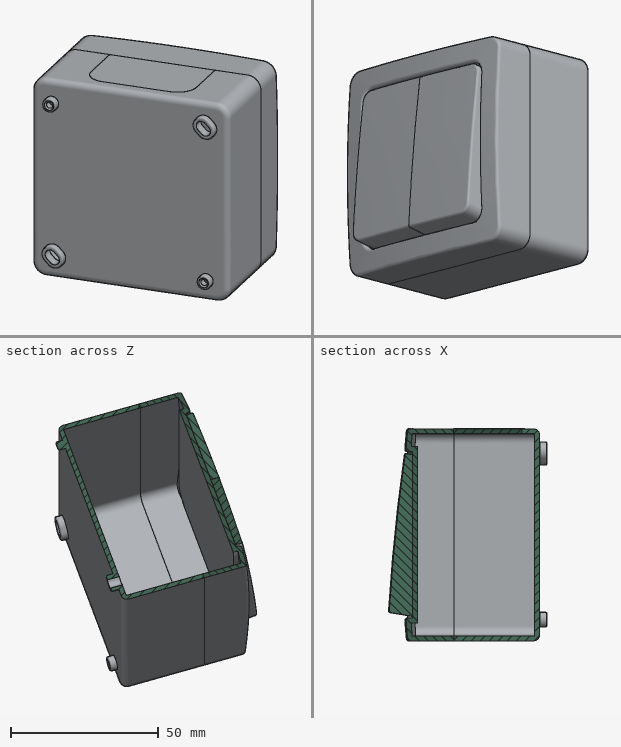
import cadquery as cq
import math


side = 72.0
corner_radius = 4.9
wall = 1.8
seam_y = 29.1

back_round = 2.15
boss_height = 2.45
boss_round = 0.6
slot_offset = 27.6
slot_run = 1.95
slot_width = 3.8
slot_boss_width = 6.5
slot_turn = 45
screw_near = 27.65
screw_far = 28.7
screw_hole_radius = 1.15
screw_boss_radius = 2.5
screw_hole_depth = boss_height + wall / 2
screw_mouth_chamfer = 0.6
screw_mouth_angle = 45

insert_width = 38.45
insert_depth = 23.9
insert_radius = 6.9

dome_apex_y = 46.9
dome_radius = 378.0
dome_round = 1.0
pocket_side = 56.3
pocket_radius = 4.7
pocket_floor_y = 43.2

key_width = 55.45
key_height = 54.15
key_corner_radius = 3.8
key_round = 0.7
key_tilt = 9.5
key_middle_y = 49.1
key_middle_z = 0.8
key_face_lean = 5.8
key_face_radius = 684.0
key_bar_length = 43.2


def square_prism(size, radius, start_y, end_y):
    """Square bar along Y, from start_y to end_y, with rounded long edges."""
    block = cq.Workplane("XY").box(size, end_y - start_y, size)
    return block.edges("|Y").fillet(radius).translate((0, (start_y + end_y) / 2, 0))


def rear_plane(x, y, z):
    """Workplane at the given point, extruding towards +Y."""
    return cq.Workplane(cq.Plane(origin=(x, y, z), xDir=(1, 0, 0), normal=(0, 1, 0)))


def slot_bar(x, z, width, start_y, end_y):
    """Bar along Y with an obround section whose long axis slopes down towards +X."""
    plane = rear_plane(x, start_y, z)
    return plane.slot2D(slot_run + width, width, slot_turn).extrude(end_y - start_y)


def add_slotted_boss(body, x, z):
    """Obround boss on the back with a mounting slot through the back wall."""
    boss = slot_bar(x, z, slot_boss_width, -boss_height, 0).faces("<Y").edges().fillet(boss_round)
    return body.union(boss).cut(slot_bar(x, z, slot_width, -boss_height, wall))


def add_screw_boss(body, x, z):
    """Round boss on the back with a blind, countersunk screw hole."""
    plane = rear_plane(x, -boss_height, z)
    boss = plane.circle(screw_boss_radius).extrude(boss_height)
    boss = boss.faces("<Y").edges().fillet(boss_round)
    hole = plane.circle(screw_hole_radius).extrude(screw_hole_depth)
    mouth = plane.circle(screw_hole_radius + screw_mouth_chamfer)
    countersink = mouth.extrude(screw_mouth_chamfer, taper=screw_mouth_angle)
    return body.union(boss).cut(hole).cut(countersink)


def make_insert():
    """Flat plate closing the cable entry, open corners rounded towards the back."""
    plate = cq.Workplane("XY").box(insert_width, insert_depth, wall)
    plate = plate.edges("|Z and <Y").fillet(insert_radius)
    return plate.translate((0, seam_y - insert_depth / 2, side / 2 - wall / 2))


def make_base(insert):
    """Hollow base, open at the seam, with four bosses and a notch for the insert."""
    base = square_prism(side, corner_radius, 0, seam_y).faces("<Y").edges().fillet(back_round)
    base = base.cut(square_prism(side - 2 * wall, corner_radius - wall, wall, seam_y))
    for sign in (-1, 1):
        base = add_slotted_boss(base, sign * slot_offset, sign * slot_offset)
    base = add_screw_boss(base, -screw_far, screw_near)
    base = add_screw_boss(base, screw_near, -screw_far)
    return base.cut(insert)


def dome_ball(radius):
    """Ball concentric with the domed front of the cover."""
    return cq.Workplane("XY").sphere(radius).translate((0, dome_apex_y - dome_radius, 0))


def make_cover():
    """Hollow domed cover with a square tub-shaped pocket for the keys."""
    cover = square_prism(side, corner_radius, seam_y, dome_apex_y).intersect(dome_ball(dome_radius))
    cover = cover.cut(square_prism(pocket_side, pocket_radius, pocket_floor_y, dome_apex_y))
    cover = cover.faces("%SPHERE").edges().fillet(dome_round)
    tub = square_prism(pocket_side + 2 * wall, pocket_radius + wall, pocket_floor_y - wall, dome_apex_y)
    cavity = square_prism(side - 2 * wall, corner_radius - wall, seam_y, dome_apex_y)
    cavity = cavity.intersect(dome_ball(dome_radius - wall)).cut(tub)
    return cover.cut(cavity)


def make_key_pair():
    """Both keys as one block: tilted rounded bar with a spherical front, cut flat at the pocket floor."""
    bar = cq.Workplane("XY").box(key_width, key_bar_length, key_height)
    bar = bar.edges("|Y").fillet(key_corner_radius)
    bar = bar.rotate((0, 0, 0), (1, 0, 0), key_tilt).translate((0, key_middle_y, key_middle_z))
    lean = math.radians(key_face_lean)
    ball_y = key_middle_y - key_face_radius * math.cos(lean)
    ball_z = key_middle_z - key_face_radius * math.sin(lean)
    ball = cq.Workplane("XY").sphere(key_face_radius).translate((0, ball_y, ball_z))
    pair = bar.intersect(ball).faces("%SPHERE").edges().fillet(key_round)
    front_space = cq.Workplane("XY").box(2 * side, side, 2 * side)
    return pair.intersect(front_space.translate((0, pocket_floor_y + side / 2, 0)))


def make_key(pair, sign):
    """Left (-1) or right (+1) half of the key pair."""
    half_space = cq.Workplane("XY").box(side, 2 * side, 2 * side)
    return pair.intersect(half_space.translate((sign * side / 2, 0, 0)))


insert = make_insert()
base = make_base(insert)
cover = make_cover()
key_pair = make_key_pair()
keys = [make_key(key_pair, sign).val() for sign in (-1, 1)]

result = cq.Compound.makeCompound([base.val(), cover.val(), insert.val(), *keys])